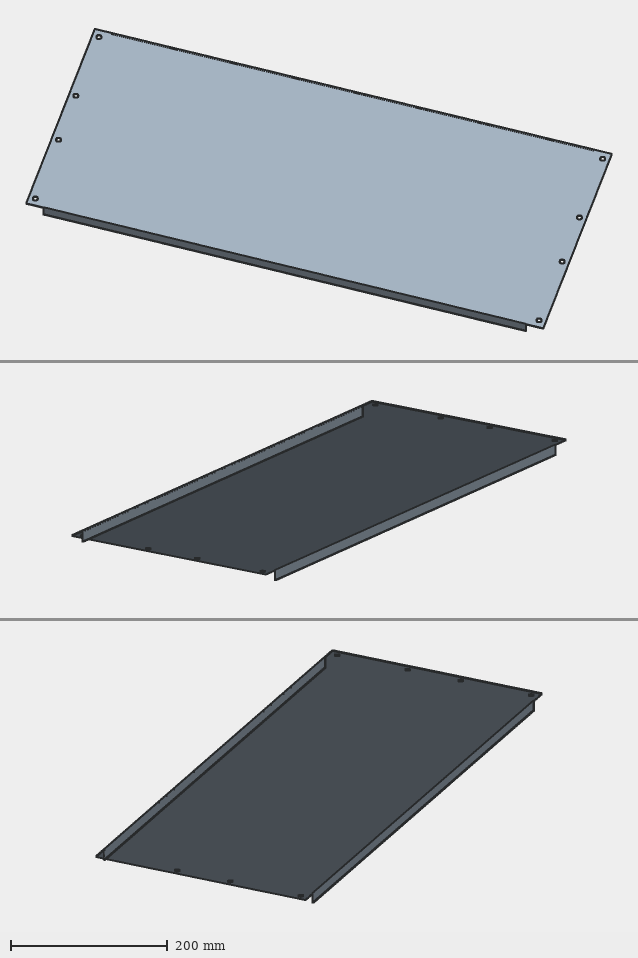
import cadquery as cq

length = 690.0
width = 297.0
height = 15.0
sheet_thickness = 1.5

flange_end_setback = 23.0
flange_length = length - 2 * flange_end_setback

hole_diameter = 6.5
hole_end_distance = 9.0
outer_hole_spacing = 275.0
inner_hole_spacing = 75.0


def make_plate():
    """Flat sheet with its top face at Z = 0, centred on X and Y."""
    plate = cq.Workplane("XY").box(length, width, sheet_thickness)
    return plate.translate((0, 0, -sheet_thickness / 2))


def make_flange(side):
    """Downward flange along one long edge; side is -1 or +1 in Y."""
    flange_y = side * (width - sheet_thickness) / 2
    flange = cq.Workplane("XY").box(flange_length, sheet_thickness, height)
    return flange.translate((0, flange_y, -height / 2))


def mounting_hole_centres():
    """Four holes at each end, symmetric about both centre lines."""
    hole_x = length / 2 - hole_end_distance
    return [
        (x_side * hole_x, y_side * spacing / 2)
        for x_side in (-1, 1)
        for y_side in (-1, 1)
        for spacing in (outer_hole_spacing, inner_hole_spacing)
    ]


panel = make_plate()
for side in (-1, 1):
    panel = panel.union(make_flange(side))

top_face = panel.faces(">Z").workplane(origin=(0, 0, 0))
result = top_face.pushPoints(mounting_hole_centres()).hole(hole_diameter)